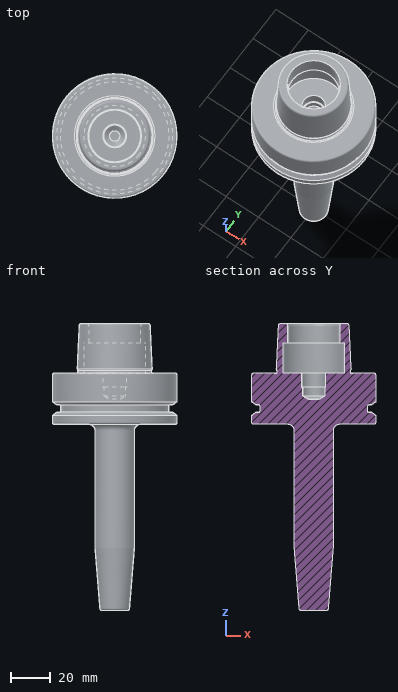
import cadquery as cq
import math

total_length = 145.0
edge_fillet = 1.0

flange_radius = 31.5
flange_thickness = 26.1
groove_base_radius = 27.4
groove_shoulder_radius = 29.3
groove_corner_fillet = 0.5
groove_top_edge = 14.6
groove_bottom_edge = 21.5
groove_flank_height = 1.6

shank_length = 25.0
shank_top_radius = 18.0
shank_root_radius = 19.0
shank_fillet = 1.2
taper_end_height = 2.0
neck_top_height = 1.2
neck_radius = 18.7
neck_fillet = 0.7
undercut_radius = 20.3
undercut_depth = 0.3

stem_radius = 10.0
stem_fillet = 3.0
nose_length = 31.5
nose_tip_radius = 7.5

entry_radius = 13.0
entry_chamfer_width = 0.5
entry_chamfer_height = 1.5
entry_depth = 10.0
recess_radius = 15.5
recess_depth = shank_length
thread_radius = 6.0
thread_depth = 7.2
drill_radius = 5.5
drill_depth = 4.4
drill_end_radius = 2.6
drill_half_angle = 59.0

flange_face = total_length - shank_length
flange_bottom = flange_face - flange_thickness


def make_body():
    """Revolve the outer profile, running up from the nose tip to the shank top."""
    rim_inner_radius = flange_radius - edge_fillet
    groove_top = flange_face - groove_top_edge
    groove_bottom = flange_face - groove_bottom_edge
    slot_top = groove_top - groove_flank_height
    slot_bottom = groove_bottom + groove_flank_height
    slot_corner_radius = groove_base_radius + groove_corner_fillet
    undercut_floor = flange_face - undercut_depth
    profile = (
        cq.Workplane("XZ")
        .lineTo(nose_tip_radius - edge_fillet, 0)
        .radiusArc((nose_tip_radius, edge_fillet), -edge_fillet)
        .lineTo(stem_radius, nose_length)
        .lineTo(stem_radius, flange_bottom - stem_fillet)
        .radiusArc((stem_radius + stem_fillet, flange_bottom), stem_fillet)
        .lineTo(rim_inner_radius, flange_bottom)
        .radiusArc((flange_radius, flange_bottom + edge_fillet), -edge_fillet)
        .lineTo(flange_radius, groove_bottom)
        .lineTo(groove_shoulder_radius, slot_bottom)
        .lineTo(slot_corner_radius, slot_bottom)
        .radiusArc((groove_base_radius, slot_bottom + groove_corner_fillet), groove_corner_fillet)
        .lineTo(groove_base_radius, slot_top - groove_corner_fillet)
        .radiusArc((slot_corner_radius, slot_top), groove_corner_fillet)
        .lineTo(groove_shoulder_radius, slot_top)
        .lineTo(flange_radius, groove_top)
        .lineTo(flange_radius, flange_face - edge_fillet)
        .radiusArc((rim_inner_radius, flange_face), -edge_fillet)
        .lineTo(undercut_radius, flange_face)
        .lineTo(neck_radius + neck_fillet, undercut_floor)
        .radiusArc((neck_radius, undercut_floor + neck_fillet), neck_fillet)
        .lineTo(neck_radius, flange_face + neck_top_height)
        .lineTo(shank_root_radius, flange_face + taper_end_height)
        .lineTo(shank_top_radius, total_length - shank_fillet)
        .radiusArc((shank_top_radius - shank_fillet, total_length), -shank_fillet)
        .lineTo(0, total_length)
        .close()
    )
    return profile.revolve(360, (0, 0), (0, 1))


def make_bore():
    """Revolve the bore profile, running down the axis from the shank top."""
    entry_end = total_length - entry_depth
    recess_floor = total_length - recess_depth
    thread_end = recess_floor - thread_depth
    drill_end = thread_end - drill_depth
    cone_depth = (drill_radius - drill_end_radius) / math.tan(math.radians(drill_half_angle))
    profile = (
        cq.Workplane("XZ")
        .moveTo(0, total_length)
        .lineTo(entry_radius + entry_chamfer_width, total_length)
        .lineTo(entry_radius, total_length - entry_chamfer_height)
        .lineTo(entry_radius, entry_end)
        .lineTo(recess_radius, entry_end)
        .lineTo(recess_radius, recess_floor)
        .lineTo(thread_radius, recess_floor)
        .lineTo(thread_radius, thread_end)
        .lineTo(drill_radius, thread_end)
        .lineTo(drill_radius, drill_end)
        .lineTo(drill_end_radius, drill_end - cone_depth)
        .lineTo(0, drill_end - cone_depth)
        .close()
    )
    return profile.revolve(360, (0, 0), (0, 1))


result = make_body().cut(make_bore())